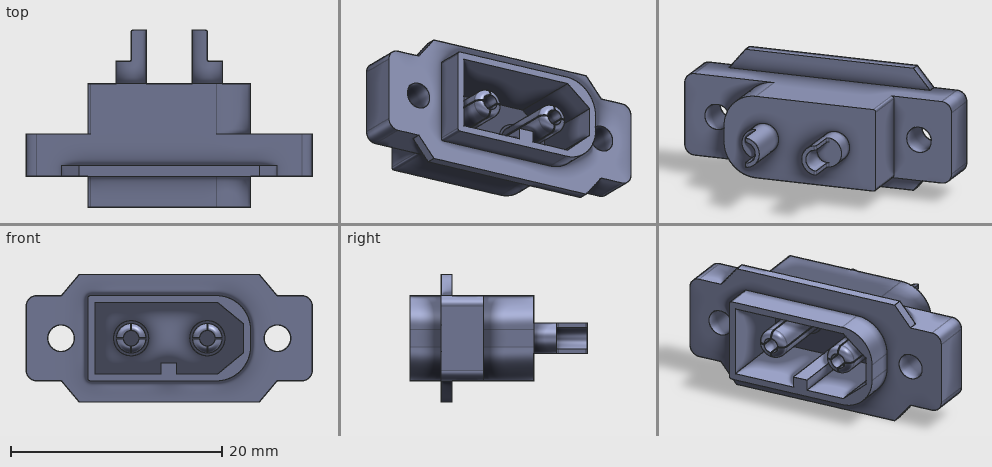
import cadquery as cq
import math


block_width = 27.1
block_height = 8.08
block_depth = 4.0
block_corner_radius = 1.0
flange_top_width = 17.05
flange_base_width = 20.43
flange_height = 12.1
flange_thickness = 1.03
screw_hole_diameter = 2.5
screw_hole_spacing = 20.5

shell_half_width = 7.7
shell_front_y = -2.95
shell_rear_y = 8.78
shell_square_radius = 0.25
shell_round_radius = 3.22

wall = 0.65
pocket_floor_y = 5.0
pocket_chamfer_x = 4.58
pocket_chamfer_z = 1.35
key_width = 1.45
key_height = 1.05
key_center_x = -0.05

pin_spacing = 7.2
pin_diameter = 2.9
contact_diameter = 2.8
pin_tip_y = -2.22
pin_rear_y = 13.85
pin_bore_diameter = 1.45
pin_tip_radius = 0.65
slot_width = 0.1
collar_diameter = 3.33
collar_thickness = 1.0
cup_step_y = 10.9
cup_bore_diameter = 2.05
cup_edge_radius = 0.2


def plane_at(y):
    """Sketch plane at the given y: local x is +X, local y is +Z, a negative extrusion goes toward +Y."""
    return cq.Workplane(cq.Plane(origin=(0, y, 0), xDir=(1, 0, 0), normal=(0, -1, 0)))


def cylinder(diameter, start_y, end_y, center_x=0.0):
    """Round bar along Y."""
    return plane_at(start_y).center(center_x, 0).circle(diameter / 2).extrude(start_y - end_y)


def bar(width, height, start_y, end_y):
    """Rectangular bar along Y, centered on the Y axis."""
    return plane_at(start_y).rect(width, height).extrude(start_y - end_y)



def mounting_block():
    return bar(block_width, block_height, 0, block_depth).edges("|Y").fillet(block_corner_radius)


def flange():
    """Two trapezoids above and below the block, joined as one plate."""
    top = flange_top_width / 2
    base = flange_base_width / 2
    outer_z = flange_height / 2
    inner_z = block_height / 2
    outline = [
        (-top, outer_z), (top, outer_z), (base, inner_z), (base, -inner_z),
        (top, -outer_z), (-top, -outer_z), (-base, -inner_z), (-base, inner_z),
    ]
    return plane_at(0).polyline(outline).close().extrude(-flange_thickness)


def shell():
    body = bar(2 * shell_half_width, block_height, shell_front_y, shell_rear_y)
    body = body.edges("|Y and <X").fillet(shell_square_radius)
    return body.edges("|Y and >X").fillet(shell_round_radius)


def pocket():
    """Space for the mating plug, with the keying rib left standing on its lower wall."""
    side_x = shell_half_width - wall
    side_z = block_height / 2 - wall
    outline = [
        (-side_x, -side_z), (pocket_chamfer_x, -side_z), (side_x, -pocket_chamfer_z),
        (side_x, pocket_chamfer_z), (pocket_chamfer_x, side_z), (-side_x, side_z),
    ]
    depth = pocket_floor_y - shell_front_y
    space = plane_at(shell_front_y).polyline(outline).close().extrude(-depth)
    key = (
        plane_at(shell_front_y)
        .center(key_center_x, -side_z + key_height / 2)
        .rect(key_width, key_height)
        .extrude(-depth)
    )
    return space.cut(key)


def pin_seat(center_x):
    """Stepped hole that holds one pin and its collar."""
    bore = cylinder(pin_diameter, pocket_floor_y, shell_rear_y, center_x)
    recess = cylinder(collar_diameter, pocket_floor_y, pocket_floor_y + collar_thickness, center_x)
    return bore.union(recess)


def make_housing():
    body = mounting_block().union(flange()).union(shell()).cut(pocket())
    for side in (-1, 1):
        body = body.cut(pin_seat(side * pin_spacing / 2))
        body = body.cut(cylinder(screw_hole_diameter, 0, block_depth, side * screw_hole_spacing / 2))
    return body



def cup_opening():
    """Space removed from the -X half behind the step, with both ends of its flat face rounded."""
    r = cup_edge_radius
    diagonal = r * math.sqrt(0.5)
    height = 2 * pin_diameter
    return (
        cq.Workplane("XY", origin=(0, 0, -height / 2))
        .moveTo(-pin_diameter, cup_step_y)
        .lineTo(-r, cup_step_y)
        .threePointArc((-r + diagonal, cup_step_y + r - diagonal), (0, cup_step_y + r))
        .lineTo(0, pin_rear_y - r)
        .threePointArc((r - diagonal, pin_rear_y - r + diagonal), (r, pin_rear_y))
        .lineTo(-pin_diameter, pin_rear_y)
        .close()
        .extrude(height)
    )


def make_pin():
    """Pin on the Y axis: slotted hollow tip, retaining collar and solder cup open toward -X."""
    pin = cylinder(contact_diameter, pin_tip_y, pocket_floor_y).faces("<Y").edges().fillet(pin_tip_radius)
    pin = pin.union(cylinder(pin_diameter, pocket_floor_y, pin_rear_y))
    pin = pin.union(cylinder(collar_diameter, pocket_floor_y, pocket_floor_y + collar_thickness))
    pin = pin.cut(cylinder(pin_bore_diameter, pin_tip_y, pocket_floor_y))
    pin = pin.cut(bar(slot_width, pin_diameter, pin_tip_y, pocket_floor_y))
    pin = pin.cut(bar(pin_diameter, slot_width, pin_tip_y, pocket_floor_y))
    pin = pin.cut(cylinder(cup_bore_diameter, cup_step_y, pin_rear_y))
    return pin.cut(cup_opening())


def make_pins():
    """The two pins mirror each other, so both cups open away from the middle."""
    pins = []
    for side in (-1, 1):
        pin = make_pin()
        if side > 0:
            pin = pin.mirror("YZ")
        pins.append(pin.translate((side * pin_spacing / 2, 0, 0)).val())
    return pins


housing = make_housing()
pins = make_pins()

result = cq.Compound.makeCompound([housing.val(), *pins])